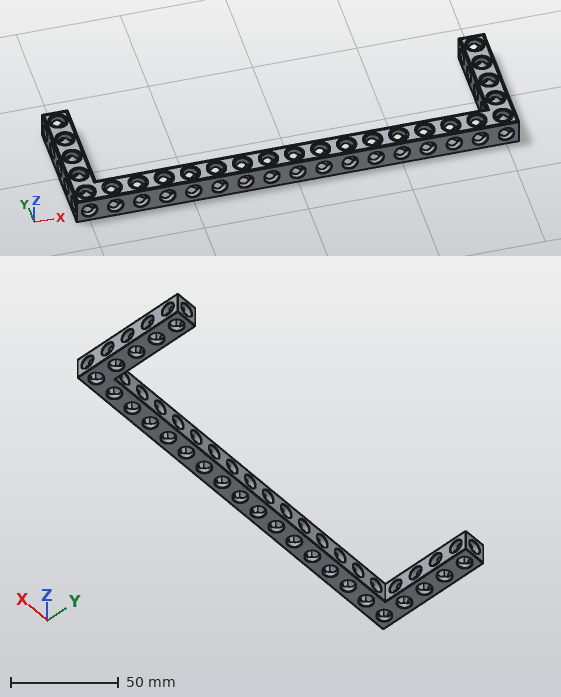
import cadquery as cq
length = 212.5
columns = 17
rows = 5
hole_diameter = 7.0
edge_chamfer = 0.3
collar_diameter = 9.1
border_width = 1.0
panel_depth = 0.2

pitch = length / columns
depth = rows * pitch
height = pitch
mid_height = height / 2
panel_floor = height - panel_depth


def cell_centre(index):
    """Distance from the beam end to the middle of a cell."""
    return (index + 0.5) * pitch


near_row = cell_centre(0)
arm_columns = (cell_centre(0), cell_centre(columns - 1))


def u_plate(inset, bottom, top):
    """U-shaped plate whose outline is drawn in by an inset on every side."""
    left = inset
    right = length - inset
    front = inset
    back = depth - inset
    beam_width = pitch - inset
    outline = [
        (left, front),
        (right, front),
        (right, back),
        (length - beam_width, back),
        (length - beam_width, beam_width),
        (beam_width, beam_width),
        (beam_width, back),
        (left, back),
    ]
    return cq.Workplane("XY").workplane(offset=bottom).polyline(outline).close().extrude(top - bottom)


def chamfered_body():
    """Full-height U with every edge broken except the two upright inner corners."""
    margin = edge_chamfer
    inner_corners = cq.selectors.BoxSelector(
        (pitch - margin, pitch - margin, mid_height - margin),
        (length - pitch + margin, pitch + margin, mid_height + margin),
    )
    broken_edges = cq.selectors.InverseSelector(inner_corners)
    return u_plate(0, 0, height).edges(broken_edges).chamfer(edge_chamfer)


def top_panel(collar_centres):
    """Shallow cutter for the sunken top panel, leaving the collars standing."""
    collars = (
        cq.Workplane("XY")
        .workplane(offset=panel_floor)
        .pushPoints(collar_centres)
        .circle(collar_diameter / 2)
        .extrude(panel_depth)
    )
    return u_plate(border_width, panel_floor, height).cut(collars)


def hole_cutter(start, direction, span):
    """Cutter for a straight hole through a wall of the given span, flared at both mouths."""
    radius = hole_diameter / 2
    mouth_radius = radius + edge_chamfer
    axis = cq.Vector(*direction)
    near = cq.Vector(*start)
    far = near + axis * span
    bore = cq.Solid.makeCylinder(radius, span, near, axis)
    near_flare = cq.Solid.makeCone(mouth_radius, radius, edge_chamfer, near, axis)
    far_flare = cq.Solid.makeCone(mouth_radius, radius, edge_chamfer, far, axis * -1)
    return bore.fuse(near_flare, far_flare)


upright_centres = [(cell_centre(column), near_row) for column in range(columns)]
for arm_x in arm_columns:
    upright_centres += [(arm_x, cell_centre(row)) for row in range(1, rows)]
hole_cutters = [hole_cutter((x, y, 0), (0, 0, 1), height) for x, y in upright_centres]

for column in range(columns):
    span = depth if column in (0, columns - 1) else pitch
    hole_cutters.append(hole_cutter((cell_centre(column), 0, mid_height), (0, 1, 0), span))

hole_cutters.append(hole_cutter((0, near_row, mid_height), (1, 0, 0), length))
for row in range(1, rows):
    for arm_side in (0, length - pitch):
        hole_cutters.append(hole_cutter((arm_side, cell_centre(row), mid_height), (1, 0, 0), pitch))

result = chamfered_body().cut(top_panel(upright_centres))
for cutter in hole_cutters:
    result = result.cut(cq.Workplane(cutter))